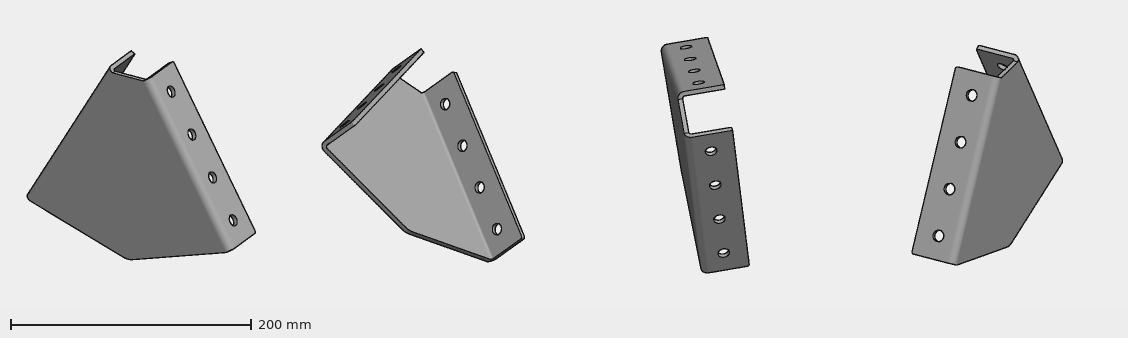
import cadquery as cq
import math

width = 200.4
depth = 40.0
thickness = 4.0
bend_radius = 6.0
flange_length = 160.3
flange_angle = math.radians(60)
lower_angle = math.radians(18)
tip_radius = 15.0
corner_radius = 2.0
hole_diameter = 9.6
hole_count = 4
hole_pitch = flange_length / hole_count

down_x, down_z = math.cos(flange_angle), -math.sin(flange_angle)
inward_x, inward_z = -math.sin(flange_angle), -math.cos(flange_angle)

plate_low_x = width / 2 + bend_radius * inward_x
sharp_tip_z = -tip_radius * (1 / math.cos(lower_angle) - 1)
plate_low_z = sharp_tip_z + plate_low_x * math.tan(lower_angle)
plate_top_x = plate_low_x - flange_length * down_x
plate_top_z = plate_low_z - flange_length * down_z

flange_top_x = plate_top_x - bend_radius * inward_x
flange_top_z = plate_top_z - bend_radius * inward_z


def make_plate():
    outline = [
        (0, sharp_tip_z),
        (plate_low_x, plate_low_z),
        (plate_top_x, plate_top_z),
        (-plate_top_x, plate_top_z),
        (-plate_low_x, plate_low_z),
    ]
    plate = cq.Workplane("XZ").polyline(outline).close().extrude(-thickness)
    return plate.edges("|Y").edges("<Z").fillet(tip_radius)


def make_flange():
    """Right-hand flange with its bend, swept down the sloping side."""
    section_plane = cq.Plane(
        origin=(flange_top_x, 0, flange_top_z),
        xDir=(inward_x, 0, inward_z),
        normal=(down_x, 0, down_z),
    )
    inner_radius = bend_radius - thickness
    diagonal = math.sqrt(0.5)
    outer_mid = bend_radius * (1 - diagonal)
    inner_mid = bend_radius - inner_radius * diagonal
    flange = (
        cq.Workplane(section_plane)
        .moveTo(bend_radius, 0)
        .threePointArc((outer_mid, outer_mid), (0, bend_radius))
        .lineTo(0, depth)
        .lineTo(thickness, depth)
        .lineTo(thickness, bend_radius)
        .threePointArc((inner_mid, inner_mid), (bend_radius, thickness))
        .close()
        .extrude(flange_length)
    )
    across = cq.Vector(inward_x, 0, inward_z)
    free_corners = flange.faces(">Y").edges(cq.selectors.ParallelDirSelector(across))
    flange = free_corners.fillet(corner_radius)

    for index in range(hole_count):
        along = (index + 0.5) * hole_pitch
        center = cq.Vector(
            flange_top_x + along * down_x,
            depth / 2,
            flange_top_z + along * down_z,
        )
        hole = cq.Solid.makeCylinder(hole_diameter / 2, thickness, center, across)
        flange = flange.cut(cq.Workplane(hole))
    return flange


right_flange = make_flange()
left_flange = right_flange.mirror("YZ")
result = make_plate().union(right_flange).union(left_flange)